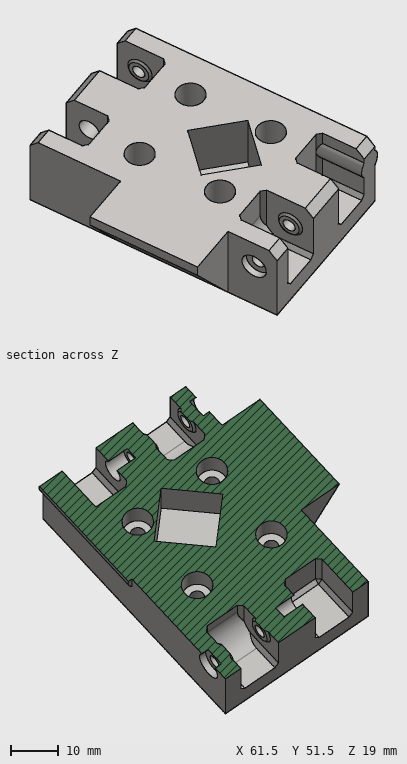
import cadquery as cq
import math

LENGTH = 61.5
DEPTH = 38.5
HEIGHT = 19.0
END_CHAMFER = 2.0

NOSE_REACH = 12.0
NOSE_WIDTH = 26.75
NOSE_CENTER_X = 35.9
NOSE_LIP = 2.6

POCKET_WIDTH = 10.0
POCKET_FLOOR = 5.0
POCKET_CHAMFER = 1.0
OUTER_WALL = 4.25
SQUARE_POCKET_LENGTH = 11.3
ROUND_POCKET_LENGTH = 12.6
ROUND_POCKET_RADIUS = 6.45

AXLE_INSET = 5.7
AXLE_Z = 11.95
AXLE_DIAMETER = 3.0
AXLE_HEAD_DIAMETER = 6.0
AXLE_HEAD_DEPTH = 1.65
AXLE_SEAT_DIAMETER = 5.0
AXLE_SEAT_DEPTH = 5.0
RING_BASE_DIAMETER = 6.0
RING_TIP_DIAMETER = 5.0
RING_HEIGHT = 0.5

SCREW_SPACING = 20.0
SCREW_CENTER_X = 31.8
SCREW_CENTER_Y = 18.7
SCREW_DIAMETER = 3.2
SCREW_HEAD_DIAMETER = 6.5
SCREW_HEAD_DEPTH = 10.0

RECESS_SIDE = 13.0
RECESS_DEPTH = 13.0
RECESS_Y = 19.75

BAR_DIAMETER = 6.3
BAR_START_X = 31.5
BAR_Z = 13.45

FRONT_POCKET_Y = OUTER_WALL
BACK_POCKET_Y = DEPTH - OUTER_WALL - POCKET_WIDTH
MIDDLE_WALL_FRONT = FRONT_POCKET_Y + POCKET_WIDTH
BACK_WALL_FRONT = BACK_POCKET_Y + POCKET_WIDTH


def half_turn(shape):
    """Turn a shape by 180 degrees about the vertical axis of the block."""
    center = (LENGTH / 2, DEPTH / 2)
    return shape.rotate((*center, 0), (*center, 1), 180)


def box(x, y, z, dx, dy, dz):
    """Box with its lowest corner at (x, y, z)."""
    return cq.Workplane("XY").box(dx, dy, dz, centered=False).translate((x, y, z))


def axle_cylinder(diameter, y_start, y_end):
    """Cylinder on the left axle line between two Y positions."""
    plane = cq.Workplane("XZ", origin=(AXLE_INSET, y_start, AXLE_Z))
    return plane.circle(diameter / 2).extrude(y_start - y_end)


def make_block():
    block = box(0, 0, 0, LENGTH, DEPTH, HEIGHT)
    return block.edges("(<X or >X) and >Z").chamfer(END_CHAMFER)


def make_nose():
    profile = [(0, 0), (0, HEIGHT), (-NOSE_REACH, HEIGHT), (-NOSE_REACH, HEIGHT - NOSE_LIP)]
    start_x = NOSE_CENTER_X - NOSE_WIDTH / 2
    return cq.Workplane("YZ", origin=(start_x, 0, 0)).polyline(profile).close().extrude(NOSE_WIDTH)


def left_pocket(y, length):
    """Open-ended pocket cutter with chamfered inner corners and floor edges."""
    cutter = box(0, y, POCKET_FLOOR, length, POCKET_WIDTH, HEIGHT - POCKET_FLOOR)
    end_corners = ">X and |Z"
    floor_edges = "<Z and (not <X)"
    return cutter.edges(f"({end_corners}) or ({floor_edges})").chamfer(POCKET_CHAMFER)


def pocket_round():
    """Material that rounds the floor of the back left pocket up into its end wall."""
    r = ROUND_POCKET_RADIUS
    arc_middle = r * (1 - math.sqrt(0.5))
    return (
        cq.Workplane("XZ", origin=(ROUND_POCKET_LENGTH, BACK_POCKET_Y, POCKET_FLOOR))
        .moveTo(-r, 0)
        .threePointArc((-arc_middle, arc_middle), (0, r))
        .lineTo(0, 0)
        .close()
        .extrude(-POCKET_WIDTH)
    )


def ring(y_base, direction):
    """Tapered spacer ring on a pocket wall, rising along +Y or -Y."""
    return cq.Workplane(
        cq.Solid.makeCone(
            RING_BASE_DIAMETER / 2,
            RING_TIP_DIAMETER / 2,
            RING_HEIGHT,
            pnt=cq.Vector(AXLE_INSET, y_base, AXLE_Z),
            dir=cq.Vector(0, direction, 0),
        )
    )


def axle_holes():
    """Screw head at the back face, through hole, and seat opening into the front pocket."""
    through = axle_cylinder(AXLE_DIAMETER, MIDDLE_WALL_FRONT, DEPTH)
    head = axle_cylinder(AXLE_HEAD_DIAMETER, DEPTH - AXLE_HEAD_DEPTH, DEPTH)
    seat = axle_cylinder(AXLE_SEAT_DIAMETER, MIDDLE_WALL_FRONT, MIDDLE_WALL_FRONT + AXLE_SEAT_DEPTH)
    return through.union(head).union(seat)


def make_bar():
    center_y = DEPTH - OUTER_WALL / 2
    plane = cq.Workplane("YZ", origin=(BAR_START_X, center_y, BAR_Z))
    return plane.circle(BAR_DIAMETER / 2).extrude(LENGTH - BAR_START_X)


def cut_top_features(body):
    body = (
        body.faces(">Z")
        .workplane(origin=(SCREW_CENTER_X, SCREW_CENTER_Y, HEIGHT))
        .rarray(SCREW_SPACING, SCREW_SPACING, 2, 2)
        .cboreHole(SCREW_DIAMETER, SCREW_HEAD_DIAMETER, SCREW_HEAD_DEPTH)
    )
    recess = (
        cq.Workplane("XY", origin=(NOSE_CENTER_X, RECESS_Y, HEIGHT))
        .transformed(rotate=(0, 0, 45))
        .rect(RECESS_SIDE, RECESS_SIDE)
        .extrude(-RECESS_DEPTH)
    )
    return body.cut(recess)


pockets = left_pocket(FRONT_POCKET_Y, SQUARE_POCKET_LENGTH).union(
    left_pocket(BACK_POCKET_Y, ROUND_POCKET_LENGTH).cut(pocket_round())
)
rings = ring(BACK_POCKET_Y, 1).union(ring(BACK_WALL_FRONT, -1))
holes = axle_holes()

body = make_block().union(make_nose())
body = body.cut(pockets).union(rings).cut(holes)
body = body.cut(half_turn(pockets)).union(half_turn(rings)).cut(half_turn(holes))
body = body.union(make_bar())
result = cut_top_features(body)